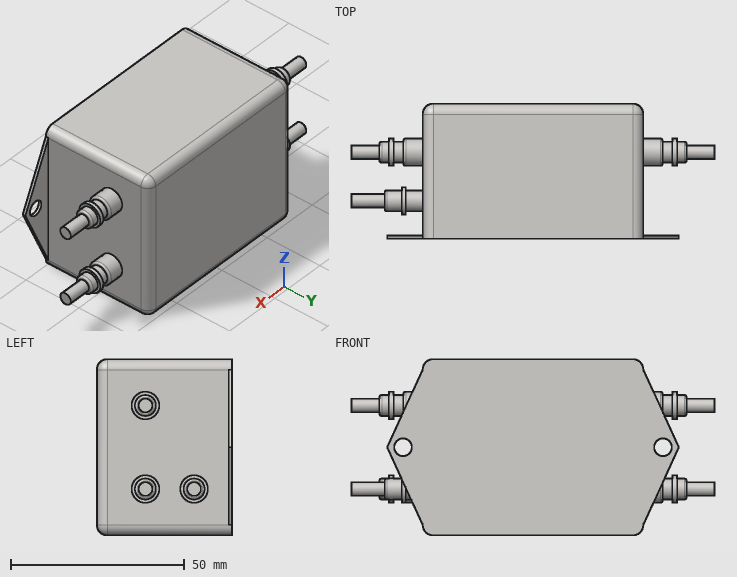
import cadquery as cq

housing_length = 63.5
housing_depth = 39.0
housing_height = 50.8
edge_radius = 3.0

plate_thickness = 1.0
plate_tip_x = 42.0
mount_hole_diameter = 5.0
mount_hole_x = 37.4

overall_length = 104.5
wire_radius = 2.0
collar_radius = 3.0
flange_radius = 4.0
step_round = 0.6
terminal_z = 12.0
rear_row_y = 25.0
front_row_y = 11.0

rear_base_length = 5.5
rear_collar_length = 12.4
rear_flange_start = 8.4
rear_flange_width = 1.4
front_collar_length = 11.0
front_flange_start = 4.8
front_flange_width = 1.1

wall_x = housing_length / 2
terminal_length = overall_length / 2 - wall_x
embed = 1.0


def make_housing():
    block = cq.Workplane("XY").box(housing_length, housing_depth, housing_height, centered=(True, False, True))
    block = block.edges("|Y").fillet(edge_radius)
    return block.faces(">Y").edges().fillet(edge_radius)


def make_plate():
    shoulder_z = housing_height / 2 - edge_radius
    outline = [
        (plate_tip_x, 0),
        (wall_x, shoulder_z),
        (-wall_x, shoulder_z),
        (-plate_tip_x, 0),
        (-wall_x, -shoulder_z),
        (wall_x, -shoulder_z),
    ]
    return cq.Workplane("XZ").polyline(outline).close().extrude(-plate_thickness)


def make_mount_holes():
    return (
        cq.Workplane("XZ")
        .pushPoints([(-mount_hole_x, 0), (mount_hole_x, 0)])
        .circle(mount_hole_diameter / 2)
        .extrude(-plate_thickness)
    )


def rod(radius, start, end):
    return cq.Workplane("YZ", origin=(start, 0, 0)).circle(radius).extrude(end - start)


def rounded_rod(radius, length):
    return rod(radius, -embed, length).faces(">X").edges().fillet(step_round)


def make_terminal(collar_length, flange_start, flange_width):
    terminal = rod(wire_radius, -embed, terminal_length)
    terminal = terminal.union(rounded_rod(collar_radius, collar_length))
    return terminal.union(rod(flange_radius, flange_start, flange_start + flange_width))


rear_terminal = make_terminal(rear_collar_length, rear_flange_start, rear_flange_width)
rear_terminal = rear_terminal.union(rounded_rod(flange_radius, rear_base_length))
front_terminal = make_terminal(front_collar_length, front_flange_start, front_flange_width)


def place_terminal(terminal, side, y, z):
    if side < 0:
        terminal = terminal.mirror("YZ")
    return terminal.translate((side * wall_x, y, z))


result = make_housing().union(make_plate()).cut(make_mount_holes())

for side in (-1, 1):
    for z in (-terminal_z, terminal_z):
        result = result.union(place_terminal(rear_terminal, side, rear_row_y, z))

result = result.union(place_terminal(front_terminal, -1, front_row_y, -terminal_z))